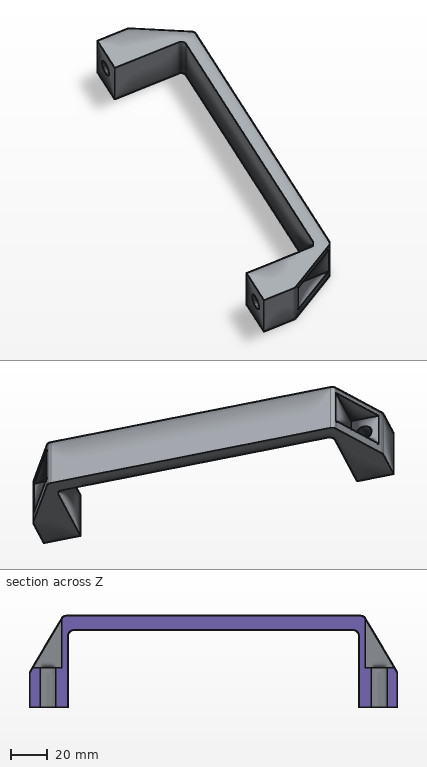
import cadquery as cq

length = 200.0
height = 50.0
width = 28.0

foot_length = 21.0
grip_thickness = 8.0
shoulder_height = 19.0
shoulder_run = 18.5
inner_radius = 3.0
outer_radius = 3.0

hole_diameter = 8.5
hole_inset = 10.0
bore_center_z = 15.0
pocket_width = 19.2
pocket_floor_y = 21.5
pocket_depth = 17.5

half_length = length / 2
inner_x = half_length - foot_length
shoulder_top_x = half_length - shoulder_run
grip_inner_y = height - grip_thickness


def round_corner(body, corner, radius):
    """Fillet the edge that runs through the whole width at one outline corner."""
    edge_middle = (*corner, width / 2)
    return body.edges(cq.selectors.NearestToPointSelector(edge_middle)).fillet(radius)


def make_body():
    """Bridge-shaped handle with sloped shoulders, standing on y = 0."""
    outline = [
        (-half_length, 0),
        (-half_length, shoulder_height),
        (-shoulder_top_x, height),
        (shoulder_top_x, height),
        (half_length, shoulder_height),
        (half_length, 0),
        (inner_x, 0),
        (inner_x, grip_inner_y),
        (-inner_x, grip_inner_y),
        (-inner_x, 0),
    ]
    body = cq.Workplane("XY").polyline(outline).close().extrude(width)

    for side in (-1, 1):
        inner_corner = (side * inner_x, grip_inner_y)
        shoulder_bottom = (side * half_length, shoulder_height)
        shoulder_top = (side * shoulder_top_x, height)
        body = round_corner(body, inner_corner, inner_radius)
        body = round_corner(body, shoulder_bottom, outer_radius)
        body = round_corner(body, shoulder_top, outer_radius)
    return body


def make_screw_cut(side):
    """Screw hole up through one foot, opening into a pocket in the sloped shoulder."""
    hole = (
        cq.Workplane("XZ", origin=(side * (half_length - hole_inset), 0, bore_center_z))
        .circle(hole_diameter / 2)
        .extrude(-height)
    )
    pocket = (
        cq.Workplane("XY")
        .box(pocket_depth, height - pocket_floor_y, pocket_width, centered=(True, False, True))
        .translate((side * (half_length - pocket_depth / 2), pocket_floor_y, bore_center_z))
    )
    return hole.union(pocket)


result = make_body()
for side in (-1, 1):
    result = result.cut(make_screw_cut(side))